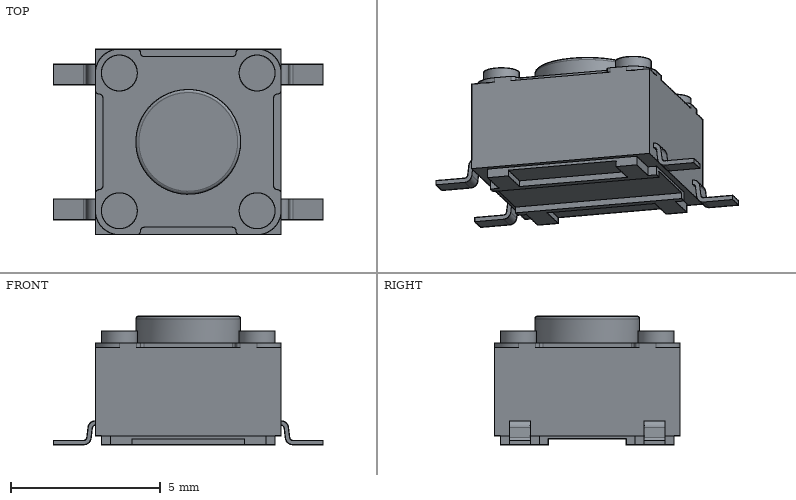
import cadquery as cq
import math

overall_span = 9.0
body_side = 6.2
body_bottom = 0.3
body_top = 3.25
cover_top = 3.4
post_top = 3.8
button_top = 4.3

button_diameter = 3.5
button_edge_round = 0.1

post_diameter = 1.2
post_offset = 2.3

cover_corner_radius = 0.8
recess_shoulder = 1.72
tab_round = 0.125

base_half = 2.9
notch_x = 2.6
notch_y = 1.6
channel_half_width = 1.3
recess_half_length = 1.88
cavity_height = 0.2

lead_thickness = 0.15
lead_width = 0.7
lead_offset = 2.25
lead_top = 0.8
lead_inner_radius = 0.1
foot_bend_x = 3.49
lead_embed = 0.5

body_half = body_side / 2


def make_body():
    height = body_top - body_bottom
    return cq.Workplane("XY").workplane(offset=body_bottom).rect(body_side, body_side).extrude(height)


def make_cover():
    """Sheet with rounded corners and a shallow recess in the middle of each side."""
    thickness = cover_top - body_top
    corner_tangent = body_half - cover_corner_radius
    corner_mid = corner_tangent + cover_corner_radius * math.sqrt(0.5)
    arc_inset = tab_round * (1 - math.sqrt(0.5))
    round_joint = recess_shoulder - tab_round
    recess_end = round_joint - tab_round
    joint_level = body_half - tab_round
    recess_level = joint_level - tab_round

    def turned(x, y, quarter):
        """Rotate a point of the +Y side clockwise by quarter turns."""
        for _ in range(quarter):
            x, y = y, -x
        return (x, y)

    outline = cq.Workplane("XY").workplane(offset=body_top).moveTo(-corner_tangent, body_half)
    for quarter in range(4):
        outline = (
            outline.lineTo(*turned(-recess_shoulder, body_half, quarter))
            .threePointArc(
                turned(-round_joint - arc_inset, body_half - arc_inset, quarter),
                turned(-round_joint, joint_level, quarter),
            )
            .threePointArc(
                turned(-round_joint + arc_inset, recess_level + arc_inset, quarter),
                turned(-recess_end, recess_level, quarter),
            )
            .lineTo(*turned(recess_end, recess_level, quarter))
            .threePointArc(
                turned(round_joint - arc_inset, recess_level + arc_inset, quarter),
                turned(round_joint, joint_level, quarter),
            )
            .threePointArc(
                turned(round_joint + arc_inset, body_half - arc_inset, quarter),
                turned(recess_shoulder, body_half, quarter),
            )
            .lineTo(*turned(corner_tangent, body_half, quarter))
            .threePointArc(
                turned(corner_mid, corner_mid, quarter),
                turned(body_half, corner_tangent, quarter),
            )
        )
    return outline.close().extrude(thickness)


def make_posts():
    spacing = 2 * post_offset
    return (
        cq.Workplane("XY").workplane(offset=body_top)
        .rarray(spacing, spacing, 2, 2)
        .circle(post_diameter / 2)
        .extrude(post_top - body_top)
    )


def make_button():
    return (
        cq.Workplane("XY").workplane(offset=body_top)
        .circle(button_diameter / 2)
        .extrude(button_top - body_top)
        .faces(">Z").edges().fillet(button_edge_round)
    )


def make_base():
    """Cross-shaped base, hollowed below to leave two bars with feet."""
    base = (
        cq.Workplane("XY").rect(2 * base_half, 2 * notch_y).extrude(body_bottom)
        .union(cq.Workplane("XY").rect(2 * notch_x, 2 * base_half).extrude(body_bottom))
    )
    channel = cq.Workplane("XY").rect(2 * base_half, 2 * channel_half_width).extrude(cavity_height)
    pocket_depth = base_half - notch_y
    pockets = (
        cq.Workplane("XY")
        .pushPoints([(0, side * (base_half - pocket_depth / 2)) for side in (-1, 1)])
        .rect(2 * recess_half_length, pocket_depth)
        .extrude(cavity_height)
    )
    return base.cut(channel).cut(pockets)


def make_lead():
    """One lead on the +X side, centred on Y = 0, bent from a strip of constant thickness."""
    outer_radius = lead_inner_radius + lead_thickness
    lower_x, lower_z = foot_bend_x, outer_radius
    upper_x, upper_z = body_half, lead_top - outer_radius

    run = lower_x - upper_x
    rise = upper_z - lower_z
    radius_sum = lead_inner_radius + outer_radius
    riser_angle = math.atan2(rise, run) + math.asin(radius_sum / math.hypot(run, rise))
    lean = math.pi / 2 - riser_angle

    def on_lower(radius, elevation):
        return (lower_x - radius * math.cos(elevation), lower_z - radius * math.sin(elevation))

    def on_upper(radius, elevation):
        return (upper_x + radius * math.cos(elevation), upper_z + radius * math.sin(elevation))

    bend_mid = (math.pi / 2 + lean) / 2
    tip = overall_span / 2
    root = body_half - lead_embed
    return (
        cq.Workplane("XZ").moveTo(tip, 0)
        .lineTo(lower_x, 0)
        .threePointArc(on_lower(outer_radius, bend_mid), on_lower(outer_radius, lean))
        .lineTo(*on_upper(lead_inner_radius, lean))
        .threePointArc(on_upper(lead_inner_radius, bend_mid), (upper_x, lead_top - lead_thickness))
        .lineTo(root, lead_top - lead_thickness)
        .lineTo(root, lead_top)
        .lineTo(upper_x, lead_top)
        .threePointArc(on_upper(outer_radius, bend_mid), on_upper(outer_radius, lean))
        .lineTo(*on_lower(lead_inner_radius, lean))
        .threePointArc(on_lower(lead_inner_radius, bend_mid), (lower_x, lead_thickness))
        .lineTo(tip, lead_thickness)
        .close()
        .extrude(lead_width / 2, both=True)
    )


def add_leads(part):
    right_lead = make_lead()
    for lead in (right_lead, right_lead.mirror("YZ")):
        for side in (-1, 1):
            part = part.union(lead.translate((0, side * lead_offset, 0)))
    return part


housing = make_body().union(make_base()).union(make_cover()).union(make_posts()).union(make_button())
result = add_leads(housing)